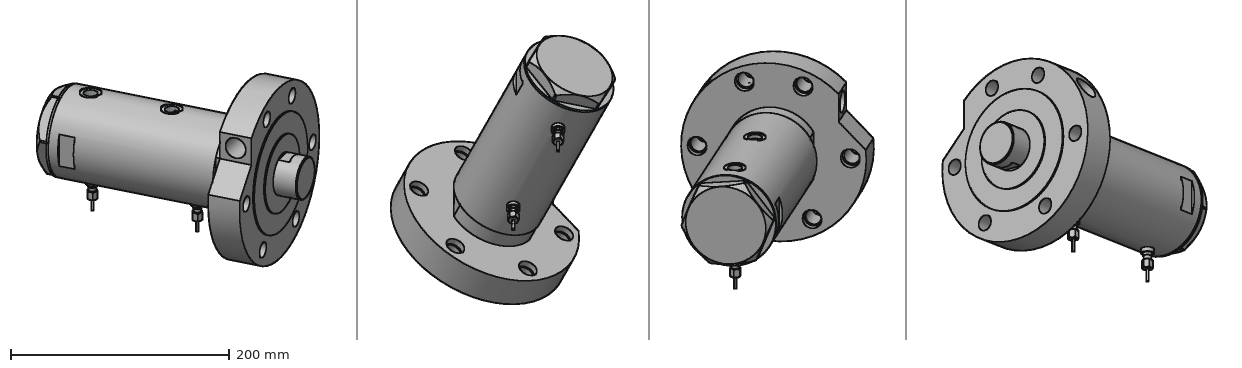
import cadquery as cq
import math


COLLAR_START = 12.5
BARREL_START = 14.8
PISTON_START = 40.7
GLAND_START = 119.0
BARREL_END = 181.0
FLANGE_START = 196.0
FLANGE_END = 227.8
BOSS_END = 229.3
GLAND_END = 230.8
ROD_FLAT_END = 242.0
ROD_END = 254.5

BARREL_RADIUS = 44.0
BORE_RADIUS = 30.5
GLAND_SEAT_RADIUS = 39.2
GLAND_NOSE_RADIUS = 37.5
ROD_RADIUS = 20.4
FLANGE_RADIUS = 87.0
BOSS_RADIUS = 58.0

BARREL_FLAT_START = 24.5
BARREL_FLAT_LENGTH = 15.8
BARREL_FLAT_OFFSET = 41.0
PORT_XS = (37.2, GLAND_START)
PORT_RADIUS = 6.5
PORT_SPOTFACE_RADIUS = 10.2
SPOTFACE_DEPTH = 1.3

HEX_APOTHEM = 38.0
HEX_CORNER_RADIUS = 43.3
HEX_FACE_RADIUS = 37.7
HEX_TURN = 8.2

NECK_FLAT_OFFSET = 37.7

BOLT_CIRCLE_RADIUS = 72.0
BOLT_ANGLES = (0, 67.5, 112.5, 180, 240, 300)
BOLT_HOLE_RADIUS = 7.5
BOLT_RECESS_RADIUS = 9.0
BOLT_RECESS_DEPTH = 6.5
NOTCH_Y = -61.0
NOTCH_CORNER_Z = 34.9
CROSS_HOLE_Z = 48.9
CROSS_HOLE_RADIUS = 10.2

PISTON_LENGTH = 20.4
ROD_FLAT_OFFSET = 18.0
ROD_CHAMFER = 1.0

SENSOR_XS = (39.0, 144.8)
SENSOR_STUD_RADIUS = 3.0
SENSOR_HEAD_RADIUS = 6.0
SENSOR_COLLAR_RADIUS = 4.3
SENSOR_NECK_RADIUS = 3.5
SENSOR_NUT_FLATS = 9.2
SENSOR_NUT_CHAMFER = 1.0
SENSOR_CABLE_RADIUS = 1.3
SENSOR_STUD_TOP = -41.5
SENSOR_HEAD_TOP = -44.5
SENSOR_HEAD_BOTTOM = -48.5
SENSOR_COLLAR_BOTTOM = -51.5
SENSOR_NECK_BOTTOM = -55.2
SENSOR_NUT_BOTTOM = -63.9
SENSOR_CABLE_BOTTOM = -75.8


def x_cylinder(radius, start, end):
    """Cylinder about the X axis between two stations."""
    return cq.Workplane("YZ", origin=(start, 0, 0)).circle(radius).extrude(end - start)


def z_cylinder(radius, x, bottom, top):
    """Vertical cylinder over the X axis between two heights."""
    return cq.Workplane("XY", origin=(x, 0, bottom)).circle(radius).extrude(top - bottom)


def flat_slab(start, end, y_size, z_size):
    """Block centred on the X axis that leaves flats when intersected with a cylinder."""
    return cq.Workplane("XY").box(end - start, y_size, z_size).translate(((start + end) / 2, 0, 0))


def make_barrel():
    barrel = x_cylinder(BARREL_RADIUS, BARREL_START, BARREL_END)
    barrel = barrel.cut(x_cylinder(BORE_RADIUS, BARREL_START, GLAND_START))
    barrel = barrel.cut(x_cylinder(GLAND_SEAT_RADIUS, GLAND_START, BARREL_END))

    flat_end = BARREL_FLAT_START + BARREL_FLAT_LENGTH
    flat_band = x_cylinder(2 * BARREL_RADIUS, BARREL_FLAT_START, flat_end)
    kept_slab = flat_slab(BARREL_FLAT_START, flat_end, 2 * BARREL_FLAT_OFFSET, 2 * BARREL_RADIUS)
    barrel = barrel.cut(flat_band.cut(kept_slab))

    spotface_z = BARREL_RADIUS - SPOTFACE_DEPTH
    for x in PORT_XS:
        barrel = barrel.cut(z_cylinder(PORT_SPOTFACE_RADIUS, x, spotface_z, BARREL_RADIUS))
        barrel = barrel.cut(z_cylinder(PORT_RADIUS, x, 0, BARREL_RADIUS))

    for x in SENSOR_XS:
        barrel = barrel.cut(z_cylinder(SENSOR_STUD_RADIUS, x, -BARREL_RADIUS, SENSOR_STUD_TOP))
    return barrel


def make_end_cap():
    hexagon = (
        cq.Workplane("YZ")
        .polygon(6, 2 * HEX_APOTHEM / math.cos(math.pi / 6))
        .extrude(COLLAR_START)
        .rotate((0, 0, 0), (1, 0, 0), -HEX_TURN)
    )
    corner_envelope = (
        x_cylinder(HEX_CORNER_RADIUS, 0, COLLAR_START)
        .faces("<X")
        .chamfer(HEX_CORNER_RADIUS - HEX_FACE_RADIUS)
    )
    collar = x_cylinder(BARREL_RADIUS, COLLAR_START, BARREL_START)
    spigot = x_cylinder(BORE_RADIUS, BARREL_START, PISTON_START)
    return hexagon.intersect(corner_envelope).union(collar).union(spigot)


def make_gland():
    seat = x_cylinder(GLAND_SEAT_RADIUS, GLAND_START, BARREL_END)
    neck = x_cylinder(BARREL_RADIUS, BARREL_END, FLANGE_START)
    neck = neck.intersect(
        flat_slab(BARREL_END, FLANGE_START, 2 * NECK_FLAT_OFFSET, 2 * BARREL_RADIUS)
    )
    nose = x_cylinder(GLAND_NOSE_RADIUS, FLANGE_START, GLAND_END)
    rod_bore = x_cylinder(ROD_RADIUS, GLAND_START, GLAND_END)
    return seat.union(neck).union(nose).cut(rod_bore)


def make_flange():
    flange = x_cylinder(FLANGE_RADIUS, FLANGE_START, FLANGE_END)

    slope_run = NOTCH_Y + FLANGE_RADIUS
    notch = (
        cq.Workplane("YZ", origin=(FLANGE_START, 0, 0))
        .moveTo(NOTCH_Y, FLANGE_RADIUS)
        .lineTo(NOTCH_Y, NOTCH_CORNER_Z)
        .lineTo(-FLANGE_RADIUS, NOTCH_CORNER_Z - slope_run)
        .lineTo(-FLANGE_RADIUS, FLANGE_RADIUS)
        .close()
        .extrude(FLANGE_END - FLANGE_START)
    )
    flange = flange.cut(notch)

    cross_hole = (
        cq.Workplane("XZ", origin=((FLANGE_START + FLANGE_END) / 2, 0, CROSS_HOLE_Z))
        .circle(CROSS_HOLE_RADIUS)
        .extrude(FLANGE_RADIUS, both=True)
    )
    flange = flange.cut(cross_hole)

    for angle in BOLT_ANGLES:
        y = BOLT_CIRCLE_RADIUS * math.cos(math.radians(angle))
        z = BOLT_CIRCLE_RADIUS * math.sin(math.radians(angle))
        recess_end = FLANGE_START + BOLT_RECESS_DEPTH
        flange = flange.cut(x_cylinder(BOLT_HOLE_RADIUS, FLANGE_START, FLANGE_END).translate((0, y, z)))
        flange = flange.cut(x_cylinder(BOLT_RECESS_RADIUS, FLANGE_START, recess_end).translate((0, y, z)))

    boss = x_cylinder(BOSS_RADIUS, FLANGE_END, BOSS_END)
    return flange.union(boss).cut(x_cylinder(GLAND_NOSE_RADIUS, FLANGE_START, BOSS_END))


def make_piston_rod():
    piston = x_cylinder(BORE_RADIUS, PISTON_START, PISTON_START + PISTON_LENGTH)
    rod = x_cylinder(ROD_RADIUS, PISTON_START, ROD_END).faces(">X").chamfer(ROD_CHAMFER)

    flat_band = x_cylinder(2 * ROD_RADIUS, GLAND_END, ROD_FLAT_END)
    kept_slab = flat_slab(GLAND_END, ROD_FLAT_END, 2 * ROD_RADIUS, 2 * ROD_FLAT_OFFSET)
    return rod.cut(flat_band.cut(kept_slab)).union(piston)


def make_sensor(x):
    sensor = z_cylinder(SENSOR_STUD_RADIUS, x, SENSOR_HEAD_TOP, SENSOR_STUD_TOP)
    sensor = sensor.union(z_cylinder(SENSOR_HEAD_RADIUS, x, SENSOR_HEAD_BOTTOM, SENSOR_HEAD_TOP))
    sensor = sensor.union(z_cylinder(SENSOR_COLLAR_RADIUS, x, SENSOR_COLLAR_BOTTOM, SENSOR_HEAD_BOTTOM))
    sensor = sensor.union(z_cylinder(SENSOR_NECK_RADIUS, x, SENSOR_NECK_BOTTOM, SENSOR_COLLAR_BOTTOM))

    nut_height = SENSOR_NECK_BOTTOM - SENSOR_NUT_BOTTOM
    nut_corner_radius = SENSOR_NUT_FLATS / 2 / math.cos(math.pi / 6)
    nut = (
        cq.Workplane("XY", origin=(x, 0, SENSOR_NUT_BOTTOM))
        .polygon(6, 2 * nut_corner_radius)
        .extrude(nut_height)
    )
    nut_envelope = (
        z_cylinder(nut_corner_radius, x, SENSOR_NUT_BOTTOM, SENSOR_NECK_BOTTOM)
        .faces("<Z or >Z")
        .chamfer(SENSOR_NUT_CHAMFER)
    )
    cable = z_cylinder(SENSOR_CABLE_RADIUS, x, SENSOR_CABLE_BOTTOM, SENSOR_NUT_BOTTOM)
    return sensor.union(nut.intersect(nut_envelope)).union(cable)


barrel = make_barrel()
end_cap = make_end_cap()
gland = make_gland()
flange = make_flange()
piston_rod = make_piston_rod()
sensors = [make_sensor(x) for x in SENSOR_XS]

result = cq.Compound.makeCompound(
    [
        barrel.val(),
        end_cap.val(),
        gland.val(),
        flange.val(),
        piston_rod.val(),
        *[sensor.val() for sensor in sensors],
    ]
)